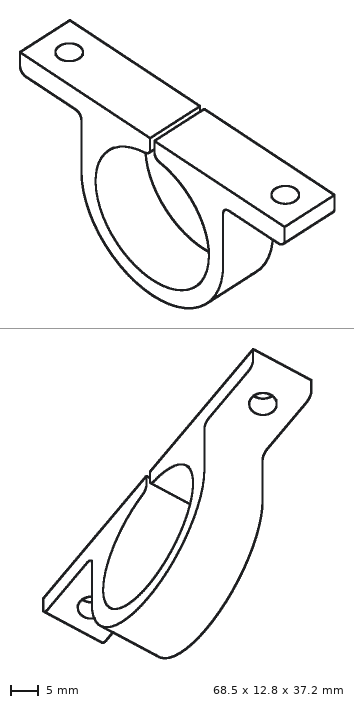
import cadquery as cq

length = 68.55
depth = 12.75
height = 37.2

outer_radius = 18.4
wall = 3.7
bore_radius = outer_radius - wall

flange_thickness = 4.95
top_z = height - outer_radius
flange_bottom_z = top_z - flange_thickness
hole_diameter = 5.0
hole_spacing = 55.95

split_width = 1.1
flange_end_radius = 1.65
root_and_lip_radius = 1.5

pick_tolerance = 0.1


def clamp_body():
    """Two flanges over a U-shaped body, extruded along Y about the mid-plane."""
    half_length = length / 2
    profile = (
        cq.Workplane("XZ")
        .moveTo(-half_length, top_z)
        .lineTo(half_length, top_z)
        .lineTo(half_length, flange_bottom_z)
        .lineTo(outer_radius, flange_bottom_z)
        .lineTo(outer_radius, 0)
        .threePointArc((0, -outer_radius), (-outer_radius, 0))
        .lineTo(-outer_radius, flange_bottom_z)
        .lineTo(-half_length, flange_bottom_z)
        .close()
    )
    return profile.extrude(depth / 2, both=True)


def cut_bore_and_split(body):
    """Bore the ring and split its top so that the clamp can flex."""
    bore = cq.Workplane("XZ").circle(bore_radius).extrude(depth / 2, both=True)
    split = cq.Workplane("XY").box(split_width, depth, top_z, centered=(True, True, False))
    return body.cut(bore).cut(split)


def edges_along_depth(body, x, z):
    """Select the mirrored pair of Y-direction edges at +x and -x, height z."""
    half_depth = depth / 2

    def box_around(side_x):
        return cq.selectors.BoxSelector(
            (side_x - pick_tolerance, -half_depth, z - pick_tolerance),
            (side_x + pick_tolerance, half_depth, z + pick_tolerance),
        )

    return body.edges("|Y").edges(box_around(x) + box_around(-x))


def round_edges(body):
    """Round the flange ends, the flange roots and the lips of the split."""
    lip_x = split_width / 2
    lip_z = (bore_radius**2 - lip_x**2) ** 0.5
    roundings = [
        (length / 2, flange_bottom_z, flange_end_radius),
        (outer_radius, flange_bottom_z, root_and_lip_radius),
        (lip_x, lip_z, root_and_lip_radius),
    ]
    for x, z, radius in roundings:
        body = edges_along_depth(body, x, z).fillet(radius)
    return body


def drill_flange_holes(body):
    """Drill one vertical through hole in each flange."""
    half_spacing = hole_spacing / 2
    holes = (
        cq.Workplane("XY")
        .workplane(offset=flange_bottom_z)
        .pushPoints([(-half_spacing, 0), (half_spacing, 0)])
        .circle(hole_diameter / 2)
        .extrude(flange_thickness)
    )
    return body.cut(holes)


clamp = cut_bore_and_split(clamp_body())
clamp = round_edges(clamp)
result = drill_flange_holes(clamp)